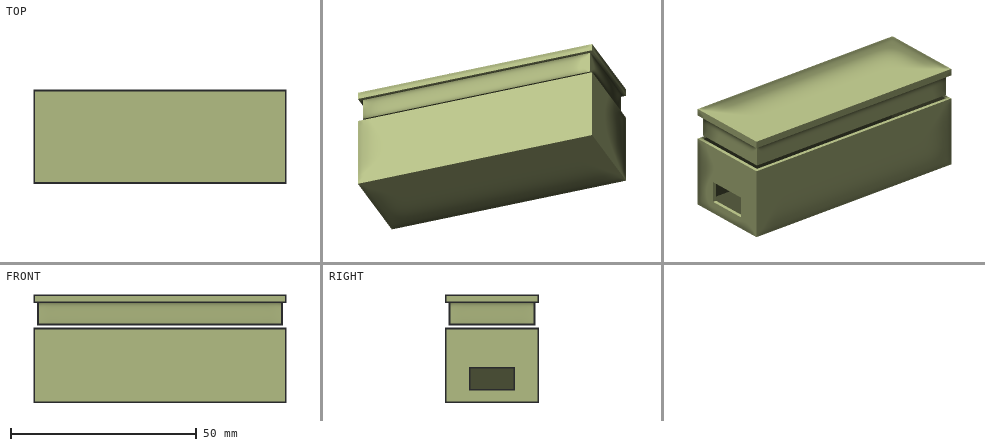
import cadquery as cq

length = 68.0
width = 25.0
box_height = 20.0
wall = 1.0

lid_gap = 1.0
skirt_height = 6.0
plate_thickness = 2.0
skirt_inset = wall

opening_width = 12.0
opening_height = 6.0
opening_bottom = 3.4

inner_length = length - 2 * skirt_inset
inner_width = width - 2 * skirt_inset


def block(size_x, size_y, height, bottom):
    """Upright block centred on the Z axis, starting at the given height."""
    return cq.Workplane("XY").workplane(offset=bottom).rect(size_x, size_y).extrude(height)


def make_box():
    """Open-topped box with an opening in one end wall."""
    shell = block(length, width, box_height, 0)
    cavity = block(inner_length, inner_width, box_height - wall, wall)
    opening = block(2 * wall, opening_width, opening_height, opening_bottom)
    return shell.cut(cavity).cut(opening.translate((length / 2, 0, 0)))


def make_lid():
    """Flat plate with a solid skirt that plugs the top of the box."""
    skirt_bottom = box_height + lid_gap
    skirt = block(inner_length, inner_width, skirt_height, skirt_bottom)
    plate = block(length, width, plate_thickness, skirt_bottom + skirt_height)
    return skirt.union(plate)


box = make_box()
lid = make_lid()
result = cq.Compound.makeCompound([box.val(), lid.val()])